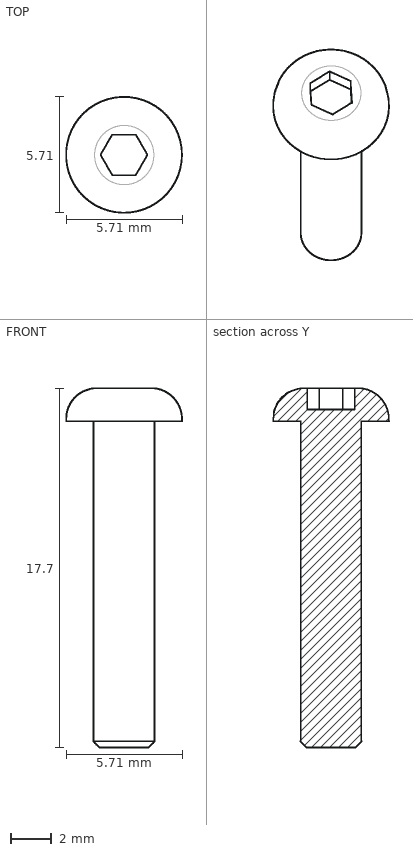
import cadquery as cq
import math

total_length = 17.65
head_height = 1.65
head_diameter = 5.7
head_flat_diameter = 2.91
shank_diameter = 3

dome_mid_radius = 2.44
dome_mid_height = 1.16

tip_chamfer = 0.3
socket_across_flats = 2.0
socket_depth = 1.05
socket_across_corners = socket_across_flats / math.cos(math.pi / 6)

shank_length = total_length - head_height


def make_head():
    """Domed head resting on the shank, with its underside at Z = 0."""
    return (
        cq.Workplane("XZ")
        .lineTo(head_diameter / 2, 0)
        .threePointArc((dome_mid_radius, dome_mid_height), (head_flat_diameter / 2, head_height))
        .lineTo(0, head_height)
        .close()
        .revolve(360, (0, 0, 0), (0, 1, 0))
    )


def make_shank():
    """Plain shank below the head, chamfered at its tip."""
    return (
        cq.Workplane("XY")
        .circle(shank_diameter / 2)
        .extrude(-shank_length)
        .faces("<Z")
        .chamfer(tip_chamfer)
    )


def make_socket():
    """Hexagonal drive socket with two corners on the X axis."""
    return (
        cq.Workplane("XY")
        .workplane(offset=head_height)
        .polygon(6, socket_across_corners)
        .extrude(-socket_depth)
    )


result = make_head().union(make_shank()).cut(make_socket())